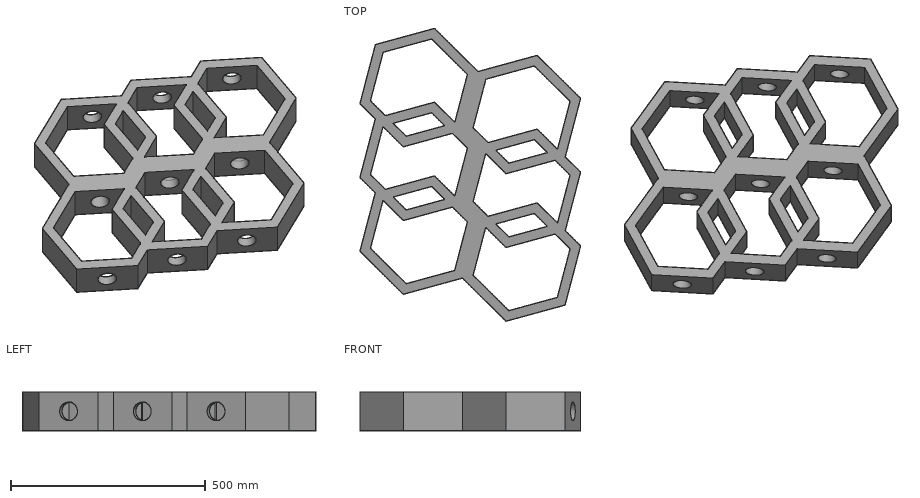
import cadquery as cq
import math

size_x = 569.0
size_y = 755.0
height = 100.5

tilt = 14.7
columns = 2
rows = 3
wall = 25.0
hole_diameter = 47.5

sector_angle = 60.0
corner_angle = sector_angle / 2 - tilt
tilt_cos = math.cos(math.radians(tilt))
tilt_sin = math.sin(math.radians(tilt))
corner_cos = math.cos(math.radians(corner_angle))

side = size_x / (2 * corner_cos + (columns - 1) * math.sqrt(3) * tilt_cos)
flat_width = side * math.sqrt(3)
inner_side = side - 2 * wall / math.sqrt(3)

column_step_x = flat_width * tilt_cos
column_step_y = -flat_width * tilt_sin
cell_size_y = 2 * side * tilt_cos
row_step = (size_y - cell_size_y - (columns - 1) * abs(column_step_y)) / (rows - 1)


def cell_center(column, row):
    """Center of a cell, with the whole grid centered on the origin."""
    column_offset = column - (columns - 1) / 2
    row_offset = row - (rows - 1) / 2
    return (column_offset * column_step_x, column_offset * column_step_y + row_offset * row_step)


def hexagon_prism(corner_radius):
    """Upright hexagonal prism with flats facing along the tilted direction."""
    return (
        cq.Workplane("XY")
        .polygon(6, 2 * corner_radius)
        .extrude(height)
        .rotate((0, 0, 0), (0, 0, 1), corner_angle)
    )


def hexagon_ring():
    """Open hexagonal frame of constant wall thickness."""
    return hexagon_prism(side).cut(hexagon_prism(inner_side))


def row_hole(row):
    """Round bore at mid height through every flat wall of one row."""
    length = (columns + 1) * flat_width
    center_y = (row - (rows - 1) / 2) * row_step
    return (
        cq.Workplane("YZ")
        .circle(hole_diameter / 2)
        .extrude(length / 2, both=True)
        .rotate((0, 0, 0), (0, 0, 1), -tilt)
        .translate((0, center_y, height / 2))
    )


ring = hexagon_ring()
result = cq.Workplane("XY")
for column in range(columns):
    for row in range(rows):
        center_x, center_y = cell_center(column, row)
        result = result.union(ring.translate((center_x, center_y, 0)))

for row in range(rows):
    result = result.cut(row_hole(row))